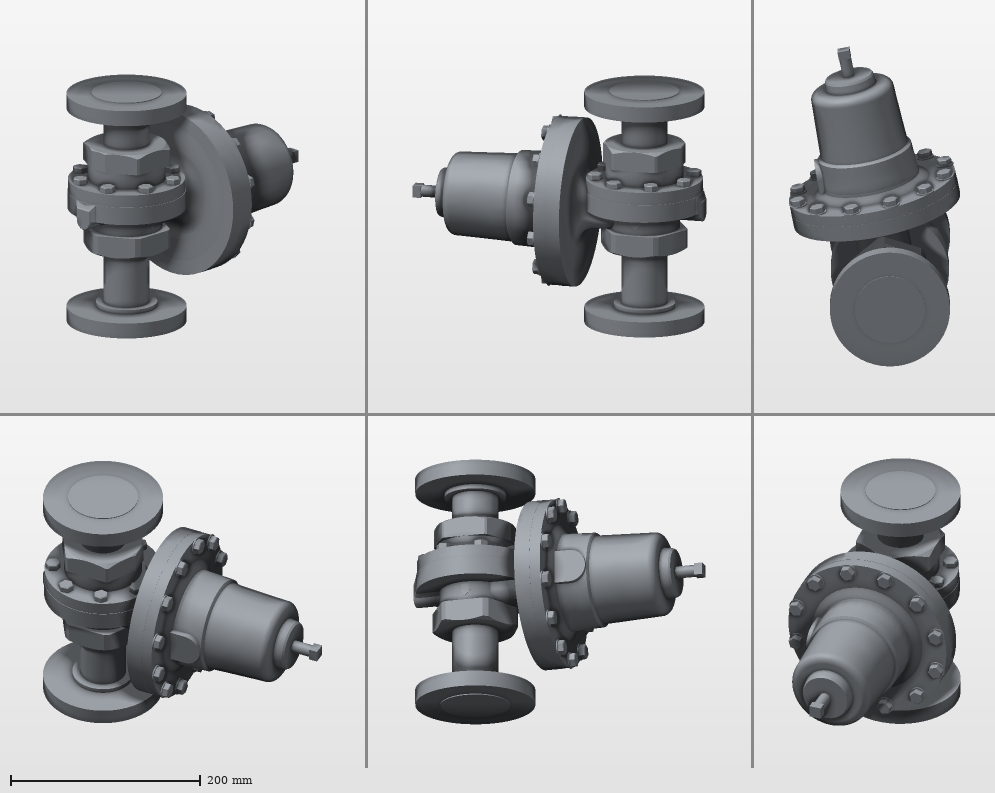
import cadquery as cq
import math


FACE_TO_FACE = 254.0
PIPE_R = 24.4
RAISED_FACE_R = 37.0
RAISED_FACE_H = 1.0
END_FLANGE_R = 63.5
END_FLANGE_T = 16.6
HUB_R = 32.5
HUB_H = 4.8

NUT_FLATS = 83.4
NUT_CHAMFER_ANGLE = 30.0
UPPER_NUT_BOTTOM = 49.2
UPPER_NUT_TOP = 70.3
UPPER_NUT_ROUND_R = 47.3
UPPER_NUT_DEPTH_Y = 84.8
LOWER_NUT_BOTTOM = -44.7
LOWER_NUT_TOP = -21.7
LOWER_NUT_ROUND_R = 46.4
SHOULDER_R = 41.3
UPPER_FLANGE_R = 61.9
UPPER_FLANGE_TOP = 31.9
FLANGE_SPLIT_Z = 18.5
LOWER_FLANGE_R = 62.5
LOWER_FLANGE_BOTTOM = -0.6
LOWER_BODY_R = 37.7

BODY_BOLT_COUNT = 8
BODY_BOLT_CIRCLE_R = 52.8
BODY_BOLT_HEAD_H = 6.6

BOLT_CORNER_D = 16.0
BOLT_EDGE_CHAMFER = 0.8

PORT_FACE_Y = -65.6
PORT_ROOT_Y = -30.0
PORT_HALF_W = 10.0
PORT_TOP_Z = 12.0
PORT_ARC_Z = -1.3
PORT_EDGE_CHAMFER = 1.0
PORT_PAD_HALF_W = 14.0
PORT_PAD_TOP_Z = 17.9
PORT_PAD_LOW_HALF_W = 9.0
PORT_PAD_LOW_Z = -4.6
PORT_PAD_Y = -61.4
PORT_FLARE_Y = -64.6

ARROW_HEIGHT = 0.8
ARROW_TOP_Z = -3.3
ARROW_SHOULDER_Z = -9.9
ARROW_TIP_Z = -15.9
ARROW_SHAFT_HALF_W = 3.7
ARROW_HEAD_HALF_W = 5.8

NECK_HALF_W = 28.3
NECK_HALF_H = 22.6
NECK_CORNER_R = 13.6
NECK_FLARE_R = 19.0

COVER_FACE_Y = 69.4
COVER_RAISED_Y = 68.4
COVER_RAISED_R = 74.0
COVER_RAISED_INNER_R = 50.0
COVER_R = 89.66
ACTUATOR_FLANGE_R = 89.4
ACTUATOR_SPLIT_Y = 85.9
ACTUATOR_FLANGE_Y = 97.7
ROOT_CONE_R = 62.0
ROOT_EDGE_R = 52.4
ROOT_EDGE_Y = 104.3
SKIRT_START_R = 51.7
SKIRT_START_Y = 107.1
SKIRT_END_R = 50.3
SKIRT_END_Y = 136.9
CASE_START_R = 47.0
CASE_START_Y = 139.3
CASE_END_R = 44.4
CASE_END_Y = 210.7
CASE_ROUND_R = 8.5
CAP_START_R = 27.5
CAP_EDGE_R = 26.1
CAP_END_R = 24.8
CAP_EDGE_Y = 219.8
CAP_END_Y = 222.1
STEM_D = 12.8
STEM_HEAD_Y = 242.8
STEM_END_Y = 251.9

ACTUATOR_BOLT_COUNT = 12
ACTUATOR_BOLT_CIRCLE_R = 81.7
ACTUATOR_BOLT_HEAD_H = 7.7
ACTUATOR_BOLT_TURN = 30.0
BOLT_WASHER_D = 18.0
BOLT_WASHER_T = 1.3

SIDE_PAD_X = 54.3
SIDE_PAD_ROOT_X = 40.0
SIDE_PAD_HALF_W = 17.5
SIDE_PAD_CENTER_Y = 119.5
SIDE_PAD_BASE_Y = 103.5


def disc_z(radius, z_low, z_high):
    return cq.Workplane("XY").workplane(offset=z_low).circle(radius).extrude(z_high - z_low)


def plane_facing_plus_y(y):
    """Plane at the given Y, seen along +Y, with local x along -X and local y along Z."""
    return cq.Workplane(cq.Plane(origin=(0, y, 0), xDir=(-1, 0, 0), normal=(0, 1, 0)))


def plane_facing_minus_y(y):
    """Plane at the given Y, extruding toward -Y, with local axes along X and Z."""
    return cq.Workplane(cq.Plane(origin=(0, y, 0), xDir=(1, 0, 0), normal=(0, -1, 0)))


def end_flange():
    """Blind flange at the top end of the pipe, with raised face and hub."""
    top = FACE_TO_FACE / 2
    seat = top - RAISED_FACE_H
    back = seat - END_FLANGE_T
    flange = disc_z(END_FLANGE_R, back, seat)
    flange = flange.union(disc_z(RAISED_FACE_R, back, top))
    return flange.union(disc_z(HUB_R, back - HUB_H, back))


def pipe_line():
    flange = end_flange()
    pipe = disc_z(PIPE_R, -FACE_TO_FACE / 2, FACE_TO_FACE / 2)
    return pipe.union(flange).union(flange.mirror("XY"))


def chamfered_disc_z(radius, z_low, z_high):
    """Turned blank with its top edge sloped down to the flats of the nut."""
    inner_r = NUT_FLATS / 2
    drop = (radius - inner_r) * math.tan(math.radians(NUT_CHAMFER_ANGLE))
    profile = [(0, z_low), (radius, z_low), (radius, z_high - drop), (inner_r, z_high), (0, z_high)]
    return cq.Workplane("XZ").polyline(profile).close().revolve(360, (0, 0, 0), (0, 1, 0))


def hex_prism_z(z_low, z_high):
    """Hexagon with two flats facing +X and -X."""
    corner_d = NUT_FLATS / math.cos(math.radians(30))
    height = z_high - z_low
    prism = cq.Workplane("XY").workplane(offset=z_low).polygon(6, corner_d).extrude(height)
    return prism.rotate((0, 0, 0), (0, 0, 1), 30)


def upper_nut():
    blank = chamfered_disc_z(UPPER_NUT_ROUND_R, UPPER_NUT_BOTTOM, UPPER_NUT_TOP)
    nut = hex_prism_z(UPPER_NUT_BOTTOM, UPPER_NUT_TOP).intersect(blank)
    trim = cq.Workplane("XY").box(2 * NUT_FLATS, UPPER_NUT_DEPTH_Y, FACE_TO_FACE)
    return nut.intersect(trim)


def lower_nut():
    blank = chamfered_disc_z(LOWER_NUT_ROUND_R, -LOWER_NUT_TOP, -LOWER_NUT_BOTTOM).mirror("XY")
    return hex_prism_z(LOWER_NUT_BOTTOM, LOWER_NUT_TOP).intersect(blank)


def body_bolts():
    step = 360 / BODY_BOLT_COUNT
    return (
        cq.Workplane("XY")
        .workplane(offset=UPPER_FLANGE_TOP)
        .polarArray(BODY_BOLT_CIRCLE_R, step / 2, 360, BODY_BOLT_COUNT)
        .polygon(6, BOLT_CORNER_D)
        .extrude(BODY_BOLT_HEAD_H)
        .faces(">Z")
        .chamfer(BOLT_EDGE_CHAMFER)
    )


def valve_body():
    body = disc_z(SHOULDER_R, UPPER_FLANGE_TOP, UPPER_NUT_BOTTOM)
    body = body.union(disc_z(UPPER_FLANGE_R, FLANGE_SPLIT_Z, UPPER_FLANGE_TOP))
    body = body.union(disc_z(LOWER_FLANGE_R, LOWER_FLANGE_BOTTOM, FLANGE_SPLIT_Z))
    body = body.union(disc_z(LOWER_BODY_R, LOWER_NUT_TOP, LOWER_FLANGE_BOTTOM))
    return body.union(upper_nut()).union(lower_nut()).union(body_bolts())


def pad_outline(half_w, top_z):
    """Corner points of the pad around the test port, tapered at its lower corners."""
    right = [(half_w, top_z), (half_w, LOWER_FLANGE_BOTTOM), (PORT_PAD_LOW_HALF_W, PORT_PAD_LOW_Z)]
    left = [(-x, z) for x, z in reversed(right)]
    return right + left


def test_port():
    """U-shaped boss that grows out of a flared pad on the lower flange."""
    boss = (
        plane_facing_minus_y(PORT_ROOT_Y)
        .moveTo(-PORT_HALF_W, PORT_TOP_Z)
        .lineTo(-PORT_HALF_W, PORT_ARC_Z)
        .threePointArc((0, PORT_ARC_Z - PORT_HALF_W), (PORT_HALF_W, PORT_ARC_Z))
        .lineTo(PORT_HALF_W, PORT_TOP_Z)
        .close()
        .extrude(PORT_ROOT_Y - PORT_FACE_Y)
        .faces("<Y")
        .chamfer(PORT_EDGE_CHAMFER)
    )
    pad_points = pad_outline(PORT_PAD_HALF_W, PORT_PAD_TOP_Z)
    pad = (
        plane_facing_minus_y(PORT_ROOT_Y)
        .polyline(pad_points)
        .close()
        .extrude(PORT_ROOT_Y - PORT_PAD_Y)
    )
    flare = (
        plane_facing_minus_y(PORT_PAD_Y)
        .polyline(pad_points)
        .close()
        .workplane(offset=PORT_PAD_Y - PORT_FLARE_Y)
        .polyline(pad_outline(PORT_HALF_W, PORT_TOP_Z))
        .close()
        .loft(ruled=True)
    )
    return boss.union(pad).union(flare)


def flow_arrows():
    """Raised arrows that point down, one on each side of the lower body."""
    right = [
        (ARROW_SHAFT_HALF_W, ARROW_TOP_Z),
        (ARROW_SHAFT_HALF_W, ARROW_SHOULDER_Z),
        (ARROW_HEAD_HALF_W, ARROW_SHOULDER_Z),
    ]
    left = [(-y, z) for y, z in reversed(right)]
    outer_r = LOWER_BODY_R + ARROW_HEIGHT
    prism = (
        cq.Workplane("YZ")
        .polyline(right + [(0, ARROW_TIP_Z)] + left)
        .close()
        .extrude(outer_r, both=True)
    )
    return prism.intersect(disc_z(outer_r, LOWER_NUT_TOP, LOWER_FLANGE_BOTTOM))


def neck():
    """Rounded rectangular neck from the body, flared out onto the cover."""
    plate_t = ACTUATOR_SPLIT_Y - COVER_RAISED_Y
    neck_body = (
        plane_facing_plus_y(0)
        .rect(2 * NECK_HALF_W, 2 * NECK_HALF_H)
        .extrude(COVER_RAISED_Y)
        .edges("|Y")
        .fillet(NECK_CORNER_R)
    )
    plate_size = 2 * COVER_R
    plate = plane_facing_plus_y(COVER_RAISED_Y).rect(plate_size, plate_size).extrude(plate_t)
    margin = 1.0
    joint = cq.selectors.BoxSelector(
        (-NECK_HALF_W - margin, COVER_RAISED_Y - margin, -NECK_HALF_H - margin),
        (NECK_HALF_W + margin, COVER_RAISED_Y + margin, NECK_HALF_H + margin),
    )
    flared = neck_body.union(plate).edges(joint).fillet(NECK_FLARE_R)
    return flared.cut(plate)


def actuator():
    """Turned actuator: cover, flange, conical root, skirt, case with rounded shoulder, and cap."""
    round_mid = CASE_ROUND_R * math.sqrt(0.5)
    round_r0 = CASE_END_R - CASE_ROUND_R
    round_y0 = CASE_END_Y - CASE_ROUND_R
    return (
        cq.Workplane("XY")
        .moveTo(0, COVER_RAISED_Y)
        .lineTo(COVER_RAISED_INNER_R, COVER_RAISED_Y)
        .lineTo(COVER_RAISED_R, COVER_FACE_Y)
        .lineTo(COVER_R, COVER_FACE_Y)
        .lineTo(COVER_R, ACTUATOR_SPLIT_Y)
        .lineTo(ACTUATOR_FLANGE_R, ACTUATOR_SPLIT_Y)
        .lineTo(ACTUATOR_FLANGE_R, ACTUATOR_FLANGE_Y)
        .lineTo(ROOT_CONE_R, ACTUATOR_FLANGE_Y)
        .lineTo(ROOT_EDGE_R, ROOT_EDGE_Y)
        .lineTo(SKIRT_START_R, SKIRT_START_Y)
        .lineTo(SKIRT_END_R, SKIRT_END_Y)
        .lineTo(CASE_START_R, CASE_START_Y)
        .lineTo(CASE_END_R, round_y0)
        .threePointArc((round_r0 + round_mid, round_y0 + round_mid), (round_r0, CASE_END_Y))
        .lineTo(CAP_START_R, CASE_END_Y)
        .lineTo(CAP_EDGE_R, CAP_EDGE_Y)
        .lineTo(CAP_END_R, CAP_END_Y)
        .lineTo(0, CAP_END_Y)
        .close()
        .revolve(360, (0, 0, 0), (0, 1, 0))
    )


def stem():
    rod = plane_facing_plus_y(CASE_END_Y).circle(STEM_D / 2).extrude(STEM_HEAD_Y - CASE_END_Y)
    head = plane_facing_plus_y(STEM_HEAD_Y).rect(STEM_D, STEM_D).extrude(STEM_END_Y - STEM_HEAD_Y)
    return rod.union(head)


def actuator_bolts():
    """Hexagon heads on washers, equally spaced around the actuator flange."""
    head = plane_facing_plus_y(ACTUATOR_FLANGE_Y).polygon(6, BOLT_CORNER_D).extrude(ACTUATOR_BOLT_HEAD_H)
    head = head.faces(">Y").chamfer(BOLT_EDGE_CHAMFER)
    head = head.rotate((0, 0, 0), (0, 1, 0), ACTUATOR_BOLT_TURN)
    washer = plane_facing_plus_y(ACTUATOR_FLANGE_Y).circle(BOLT_WASHER_D / 2).extrude(BOLT_WASHER_T)
    bolt = head.union(washer).translate((ACTUATOR_BOLT_CIRCLE_R, 0, 0))
    step = 360 / ACTUATOR_BOLT_COUNT
    bolts = cq.Workplane("XY")
    for index in range(ACTUATOR_BOLT_COUNT):
        bolts = bolts.add(bolt.rotate((0, 0, 0), (0, 1, 0), (index + 0.5) * step))
    return bolts.combine()


def side_pad():
    arch_top_y = SIDE_PAD_CENTER_Y + SIDE_PAD_HALF_W
    return (
        cq.Workplane("YZ")
        .workplane(offset=SIDE_PAD_ROOT_X)
        .moveTo(SIDE_PAD_BASE_Y, -SIDE_PAD_HALF_W)
        .lineTo(SIDE_PAD_CENTER_Y, -SIDE_PAD_HALF_W)
        .threePointArc((arch_top_y, 0), (SIDE_PAD_CENTER_Y, SIDE_PAD_HALF_W))
        .lineTo(SIDE_PAD_BASE_Y, SIDE_PAD_HALF_W)
        .close()
        .extrude(SIDE_PAD_X - SIDE_PAD_ROOT_X)
    )


result = pipe_line().union(valve_body()).union(test_port()).union(flow_arrows())
result = result.union(actuator()).union(neck()).union(stem())
result = result.union(actuator_bolts()).union(side_pad())